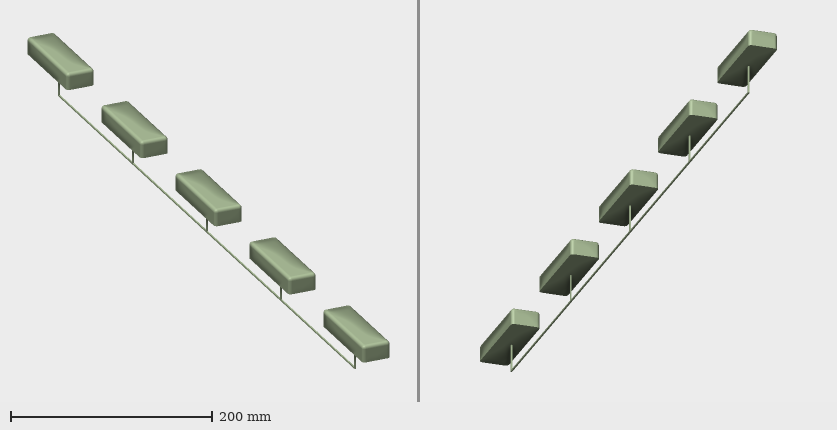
import cadquery as cq

overall_length = 808.99
overall_height = 47.18
block_count = 5
block_pitch = 177.8
rail_length = (block_count - 1) * block_pitch

block_length = overall_length - rail_length
block_width = 30.22
block_height = 18.0
edge_radius = 3.5

rod_size = 1.5
rod_axis_y = -1.65

block_bottom_z = overall_height - block_height
post_embed = 1.0


def make_block(center_x):
    """Block with rounded upright corners and a rounded top rim."""
    return (
        cq.Workplane("XY")
        .box(block_length, block_width, block_height, centered=(True, True, False))
        .edges("|Z or >Z")
        .fillet(edge_radius)
        .translate((center_x, 0, block_bottom_z))
    )


def make_post(center_x):
    """Upright rod from the underside of the rail into the underside of a block."""
    return (
        cq.Workplane("XY", origin=(center_x, rod_axis_y, 0))
        .rect(rod_size, rod_size)
        .extrude(block_bottom_z + post_embed)
    )


def make_rail():
    """Horizontal rod whose ends lie flush with the outer sides of the end posts."""
    return (
        cq.Workplane("XY", origin=(0, rod_axis_y, 0))
        .rect(rail_length + rod_size, rod_size)
        .extrude(rod_size)
    )


result = make_rail()
for index in range(block_count):
    post_x = index * block_pitch - rail_length / 2
    result = result.union(make_post(post_x)).union(make_block(post_x))